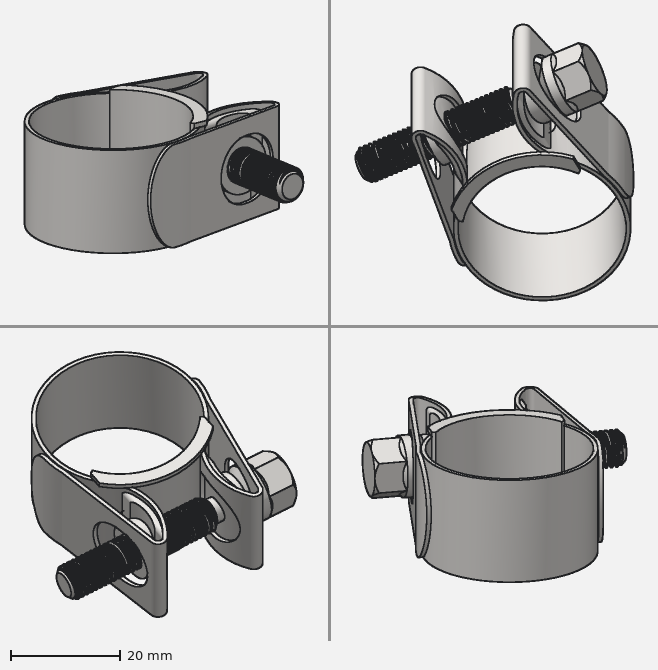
import cadquery as cq
import math


strip_thickness = 0.8
half_strip = strip_thickness / 2
band_width = 20.0
ring_outer_radius = 16.2
ring_mid_radius = ring_outer_radius - half_strip
band_top = 30.0
tab_gap = 0.15
tab_mid_radius = ring_outer_radius + tab_gap + half_strip
tab_bend_y = 5.3
tab_end_y = -4.35
tab_overrun = 0.5
tab_tip_margin = 0.05
tab_rounding_y = 1.05
loop_mid_radius = 1.3
inner_leg_mid_radius = 13.05
leg_hole_radius = 6.6
leg_hole_stretch = 0.95
leg_hole_y = 20.55
joint_tolerance = 0.0005

bridge_inner_radius = 14.7
bridge_outer_radius = 17.35
bridge_width = 22.0
bridge_half_length = 12.55
bridge_end_angle = 36.0
bridge_floor_radius = ring_outer_radius - strip_thickness

bolt_y = 21.0
bolt_length = 48.0
head_face_x = -21.55
hex_across_flats = 10.0
hex_corner_radius = hex_across_flats / math.sqrt(3)
hex_chamfer = 0.75
flange_radius = 5.75
flange_cone_start_x = -16.2
flange_start_x = -15.5
flange_end_x = -13.6
seat_radius = 2.9
shank_radius = 2.45
thread_start_x = -5.8
bolt_tip_x = head_face_x + bolt_length
thread_radius = 3.45
thread_core_radius = 2.9
thread_pitch = 1.0
thread_crest_share = 1 / 8
thread_root_share = 1 / 4
flank_steps = 4
thread_first_crest_x = -4.75

collar_radius = 5.5
collar_face_x = 11.6
trunnion_flat_x = 9.05
trunnion_width = 18.0
trunnion_rounding = 1.0
trunnion_thickness = 1.2

leg_centre_y = bolt_y
leg_centre_x = -math.sqrt((ring_mid_radius + inner_leg_mid_radius) ** 2 - leg_centre_y**2)
trunnion_arc_radius = inner_leg_mid_radius - half_strip
loop_centre_y = band_top - half_strip - loop_mid_radius
loop_centre_x = leg_centre_x + math.sqrt(
    (inner_leg_mid_radius - loop_mid_radius) ** 2 - (loop_centre_y - leg_centre_y) ** 2
)


def polar(centre, radius, angle):
    return (centre[0] + radius * math.cos(angle), centre[1] + radius * math.sin(angle))


def arc_points(centre, radius, start, end):
    """Start, middle and end point of an arc."""
    return [polar(centre, radius, angle) for angle in (start, (start + end) / 2, end)]


def mirrored(point):
    return (-point[0], point[1])


def band_side(side):
    """Arcs along one face of the strip, right tab to left tab: +1 is the ring's outer face, -1 its inner."""
    offset = side * half_strip
    origin = (0, 0)
    leg_centre = (leg_centre_x, leg_centre_y)
    loop_centre = (loop_centre_x, loop_centre_y)
    ring_radius = ring_mid_radius + offset
    leg_radius = inner_leg_mid_radius - offset
    loop_radius = loop_mid_radius - offset
    tab_radius = tab_mid_radius - offset

    ring_end = math.atan2(leg_centre_y, leg_centre_x)
    loop_start = math.atan2(loop_centre_y - leg_centre_y, loop_centre_x - leg_centre_x)
    bend_angle = math.pi - math.asin(tab_bend_y / tab_radius)
    tab_end = math.pi - math.asin((tab_end_y - tab_overrun) / tab_radius)

    bend = polar(origin, tab_radius, bend_angle)
    to_bend = math.atan2(bend[1] - loop_centre_y, bend[0] - loop_centre_x) + 2 * math.pi
    bend_distance = math.dist(bend, loop_centre)
    loop_end = to_bend - math.acos(loop_radius / bend_distance)

    ring_left = polar(origin, ring_radius, ring_end)
    ring = [mirrored(ring_left), (0, -ring_radius), ring_left]
    left_arcs = [
        arc_points(leg_centre, leg_radius, ring_end - math.pi, loop_start),
        arc_points(loop_centre, loop_radius, loop_start, loop_end),
        arc_points(origin, tab_radius, bend_angle, tab_end),
    ]
    right_arcs = [[mirrored(point) for point in reversed(arc)] for arc in reversed(left_arcs)]
    return [*right_arcs, ring, *left_arcs]


def band_strip():
    outer = band_side(1)
    inner = [arc[::-1] for arc in reversed(band_side(-1))]
    position = outer[0][0]
    outline = cq.Workplane("XY").workplane(offset=-band_width / 2).moveTo(*position)
    for start, middle, end in outer + inner:
        if math.dist(position, start) > joint_tolerance:
            outline = outline.lineTo(*start)
        outline = outline.threePointArc(middle, end)
        position = end
    return outline.close().extrude(band_width)


def along_x(radius, y, x_start, x_end):
    """A cylinder along X at height z = 0."""
    return cq.Workplane("YZ").workplane(offset=x_start).center(y, 0).circle(radius).extrude(x_end - x_start)


def tab_corners(side):
    """The corners to remove so that a tab ends in an elliptical tip: side -1 is left, +1 right."""
    tip_length = tab_rounding_y - tab_end_y
    reach = tab_mid_radius + strip_thickness
    below_length = tip_length + 2 * tab_overrun
    tab_ring = (
        cq.Workplane("XY").workplane(offset=-band_width / 2)
        .circle(reach).circle(ring_outer_radius + tab_gap / 2).extrude(band_width)
    )
    below = cq.Workplane("XY").box(reach, below_length, band_width).translate(
        (side * reach / 2, tab_rounding_y - below_length / 2, 0)
    )
    tip = (
        cq.Workplane("YZ").center(tab_rounding_y, 0)
        .ellipse(tip_length, band_width / 2 + tab_tip_margin).extrude(side * 2 * reach)
    )
    return tab_ring.intersect(below).cut(tip)


def leg_holes():
    slot_length = 2 * leg_hole_radius + leg_hole_stretch
    return (
        cq.Workplane("YZ").center(leg_hole_y, 0).slot2D(slot_length, 2 * leg_hole_radius)
        .extrude(tab_mid_radius, both=True)
    )


def make_band():
    return band_strip().cut(tab_corners(-1)).cut(tab_corners(1)).cut(leg_holes())


def make_bridge():
    bridge = (
        cq.Workplane("XY").workplane(offset=-bridge_width / 2)
        .circle(bridge_outer_radius).circle(bridge_inner_radius).extrude(bridge_width)
    )
    wedge_x = 2 * bridge_outer_radius
    wedge_y = wedge_x * math.tan(math.radians(bridge_end_angle))
    wedge = (
        cq.Workplane("XY").workplane(offset=-bridge_width / 2)
        .polyline([(0, 0), (wedge_x, wedge_y), (-wedge_x, wedge_y)]).close().extrude(bridge_width)
    )
    sides = cq.Workplane("XY").box(2 * bridge_half_length, 2 * bridge_outer_radius, bridge_width)
    top = sides.translate((0, bridge_outer_radius, 0))
    wedge = wedge.union(top.translate((0, wedge_y, 0)))
    bridge = bridge.intersect(wedge).intersect(top)
    channel = (
        cq.Workplane("XY").workplane(offset=-band_width / 2)
        .circle(2 * bridge_outer_radius).circle(bridge_floor_radius).extrude(band_width)
    )
    return bridge.cut(channel)


def make_thread():
    """One cross section of a flat-topped screw thread, twisted along the bolt."""
    length = bolt_tip_x - thread_start_x
    crest_angle = -2 * math.pi * (thread_first_crest_x - thread_start_x) / thread_pitch
    half_crest = math.pi * thread_crest_share
    half_root = math.pi * thread_root_share
    flank_angle = math.pi - half_crest - half_root
    root_angle = crest_angle + math.pi
    thread_depth = thread_radius - thread_core_radius

    def falling_flank(share):
        return polar((0, 0), thread_radius - share * thread_depth, crest_angle + half_crest + share * flank_angle)

    def rising_flank(share):
        return polar((0, 0), thread_core_radius + share * thread_depth, root_angle + half_root + share * flank_angle)

    crest = arc_points((0, 0), thread_radius, crest_angle - half_crest, crest_angle + half_crest)
    root = arc_points((0, 0), thread_core_radius, root_angle - half_root, root_angle + half_root)
    return (
        cq.Workplane("YZ", origin=(thread_start_x, bolt_y, 0))
        .moveTo(*crest[0]).threePointArc(crest[1], crest[2])
        .spline([falling_flank(step / flank_steps) for step in range(1, flank_steps + 1)], includeCurrent=True)
        .threePointArc(root[1], root[2])
        .spline([rising_flank(step / flank_steps) for step in range(1, flank_steps)] + [crest[0]],
                includeCurrent=True)
        .close()
        .twistExtrude(length, 360 * length / thread_pitch)
    )


def revolve_along_bolt(profile):
    """Turn (x, radius) points round the bolt axis."""
    outline = cq.Workplane("XY").polyline(profile).close()
    return outline.revolve(360, (0, 0, 0), (1, 0, 0)).translate((0, bolt_y, 0))


def make_head():
    hexagon = (
        cq.Workplane("YZ").workplane(offset=head_face_x).center(bolt_y, 0)
        .polygon(6, 2 * hex_corner_radius).extrude(flange_start_x - head_face_x)
        .rotate((0, bolt_y, 0), (1, bolt_y, 0), 90)
    )
    face_radius = hex_across_flats / 2
    rounding = revolve_along_bolt([
        (head_face_x, 0),
        (head_face_x, face_radius),
        (head_face_x + hex_chamfer, face_radius + hex_chamfer),
        (flange_start_x, face_radius + hex_chamfer),
        (flange_start_x, 0),
    ])
    flange = revolve_along_bolt([
        (flange_cone_start_x, 0),
        (flange_cone_start_x, flange_radius - (flange_start_x - flange_cone_start_x)),
        (flange_start_x, flange_radius),
        (flange_end_x, flange_radius),
        (-collar_face_x, seat_radius),
        (-collar_face_x, 0),
    ])
    return hexagon.intersect(rounding).union(flange)


def make_bolt():
    shank = along_x(shank_radius, bolt_y, -collar_face_x, thread_start_x)
    cone_depth = 2 * (thread_radius - shank_radius)
    end_cones = revolve_along_bolt([
        (thread_start_x, 0),
        (thread_start_x, shank_radius),
        (thread_start_x + cone_depth, shank_radius + cone_depth),
        (bolt_tip_x - cone_depth, shank_radius + cone_depth),
        (bolt_tip_x, shank_radius),
        (bolt_tip_x, 0),
    ])
    thread = make_thread().intersect(end_cones, clean=False)
    return make_head().union(shank).union(thread, clean=False)


def make_trunnion(hole_radius):
    """The left trunnion, seated in the inner leg of the left loop."""
    reach = leg_centre_x + trunnion_arc_radius
    depth = reach + trunnion_flat_x
    bar = (
        cq.Workplane("XY").box(depth, 2 * trunnion_arc_radius, trunnion_width)
        .edges("<X and |Y").fillet(trunnion_rounding)
        .translate((-trunnion_flat_x + depth / 2, bolt_y, 0))
    )
    base = cq.Workplane("XY").workplane(offset=-trunnion_width / 2).center(leg_centre_x, leg_centre_y)
    curved_face = base.circle(trunnion_arc_radius).extrude(trunnion_width)
    hollow = base.circle(trunnion_arc_radius - trunnion_thickness).extrude(trunnion_width)
    collar = along_x(collar_radius, bolt_y, -collar_face_x, reach).intersect(curved_face)
    trunnion = bar.intersect(curved_face).cut(hollow).union(collar)
    return trunnion.cut(along_x(hole_radius, bolt_y, -collar_face_x, reach))


band = make_band()
bridge = make_bridge()
bolt = make_bolt()
trunnions = [
    make_trunnion(shank_radius),
    make_trunnion(thread_radius).mirror("YZ"),
]

result = cq.Compound.makeCompound(
    [band.val(), bridge.val(), bolt.val(), *[trunnion.val() for trunnion in trunnions]]
)